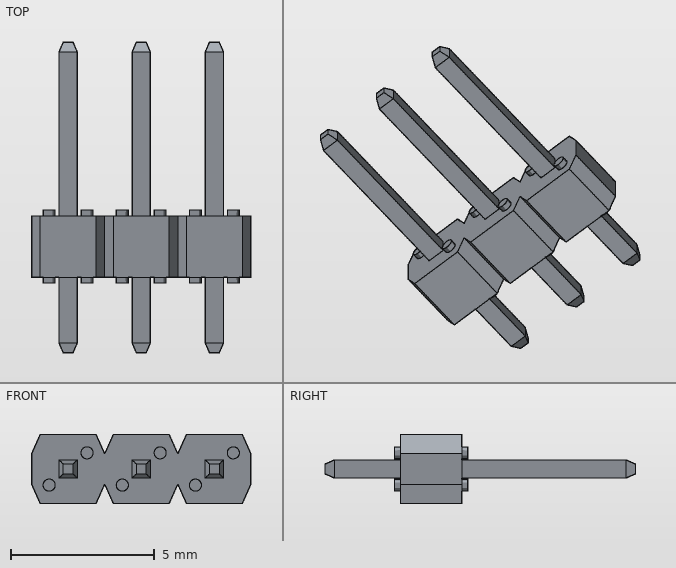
import cadquery as cq

pin_count = 3
header_width = 7.62
pitch = header_width / pin_count
total_length = 10.79

body_height = 2.41
waist_height = 1.07
flat_width = 1.94
body_length = 2.14

pin_width = 0.64
tip_width = 0.35
tip_length = 0.33
short_pin_length = 2.62

nub_diameter = 0.42
nub_height = 0.2
nub_offset_x = 0.66
nub_offset_z = 0.56

body_front = short_pin_length
nub_front = body_front - nub_height
nub_length = body_length + 2 * nub_height

pin_positions = [(i - (pin_count - 1) / 2) * pitch for i in range(pin_count)]


def plane_at(y):
    """XZ plane at the given Y, with its normal toward +Y and Z kept upward."""
    return cq.Workplane(cq.Plane(origin=(0, y, 0), xDir=(-1, 0, 0), normal=(0, 1, 0)))


def body_cell(x):
    """One octagonal insulator cell; neighbours join at their waists."""
    half_pitch = pitch / 2
    half_flat = flat_width / 2
    half_waist = waist_height / 2
    half_height = body_height / 2
    outline = [
        (-half_pitch, -half_waist),
        (-half_flat, -half_height),
        (half_flat, -half_height),
        (half_pitch, -half_waist),
        (half_pitch, half_waist),
        (half_flat, half_height),
        (-half_flat, half_height),
        (-half_pitch, half_waist),
    ]
    return plane_at(body_front).polyline(outline).close().extrude(body_length).translate((x, 0, 0))


def pin(x):
    """Square pin with a tapered tip at each end."""
    shank_length = total_length - 2 * tip_length
    shank_end = total_length - tip_length
    shank = plane_at(tip_length).rect(pin_width, pin_width).extrude(shank_length)
    front_tip = (
        plane_at(0).rect(tip_width, tip_width)
        .workplane(offset=tip_length).rect(pin_width, pin_width).loft(ruled=True)
    )
    back_tip = (
        plane_at(shank_end).rect(pin_width, pin_width)
        .workplane(offset=tip_length).rect(tip_width, tip_width).loft(ruled=True)
    )
    return shank.union(front_tip).union(back_tip).translate((x, 0, 0))


def nubs(x):
    """Diagonal pair of cylinders through the cell, standing proud of both faces."""
    centers = [(-nub_offset_x, nub_offset_z), (nub_offset_x, -nub_offset_z)]
    cylinders = plane_at(nub_front).pushPoints(centers).circle(nub_diameter / 2).extrude(nub_length)
    return cylinders.translate((x, 0, 0))


result = body_cell(pin_positions[0])
for position in pin_positions[1:]:
    result = result.union(body_cell(position))
for position in pin_positions:
    result = result.union(pin(position)).union(nubs(position))
result = result.clean()